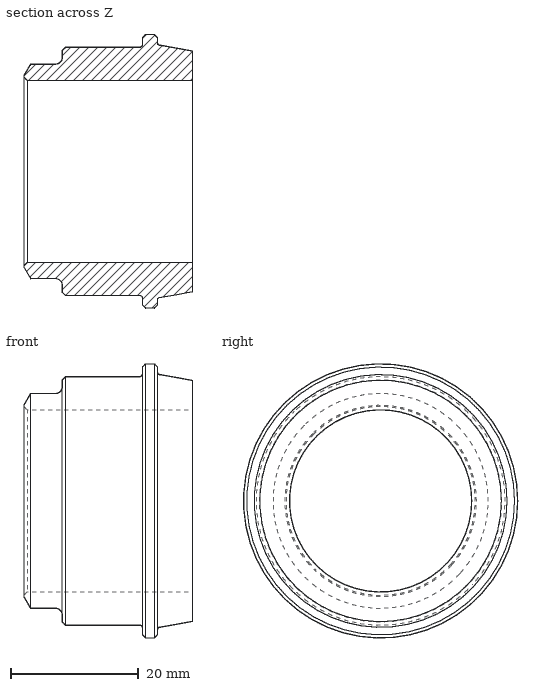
import cadquery as cq
import math

length = 26.5
bore_radius = 28.5 / 2
bore_chamfer = 0.55

neck_radius = 33.7 / 2
bevel_length = 1.08
bevel_depth = 1.85
neck_fillet = 1.05

body_start = 6.0
body_radius = 39.0 / 2
body_chamfer = 0.5

collar_start = 18.58
collar_end = 21.0
collar_radius = 43 / 2
collar_chamfer = 0.5
collar_fillet = 0.4

taper_angle = math.radians(10)
taper_end_radius = 18.9
rear_land = 0.15

taper_slope = math.tan(taper_angle)
rear_edge = length - rear_land


def taper_radius(x):
    """Radius of the tapered rear surface at axial position x."""
    return taper_end_radius + (rear_edge - x) * taper_slope


fillet_center_x = collar_end + collar_fillet
fillet_center_radius = taper_radius(fillet_center_x) + collar_fillet / math.cos(taper_angle)


def rear_fillet_point(angle):
    """Point on the rear fillet; the angle turns from the collar face to the taper."""
    return (
        fillet_center_x - collar_fillet * math.cos(angle),
        fillet_center_radius - collar_fillet * math.sin(angle),
    )


rear_fillet_sweep = math.pi / 2 + taper_angle


def concave_corner(profile, wall_x, radius, fillet):
    """Extend the profile along a cylinder and round it up into a wall."""
    mid_offset = fillet * (1 - math.sqrt(0.5))
    return profile.lineTo(wall_x - fillet, radius).threePointArc(
        (wall_x - mid_offset, radius + mid_offset),
        (wall_x, radius + fillet),
    )


profile = (
    cq.Workplane("XY")
    .moveTo(0, bore_radius + bore_chamfer)
    .lineTo(0, neck_radius - bevel_depth)
    .lineTo(bevel_length, neck_radius)
)
profile = concave_corner(profile, body_start, neck_radius, neck_fillet)
profile = (
    profile.lineTo(body_start, body_radius - body_chamfer)
    .lineTo(body_start + body_chamfer, body_radius)
)
profile = concave_corner(profile, collar_start, body_radius, collar_fillet)
profile = (
    profile.lineTo(collar_start, collar_radius - collar_chamfer)
    .lineTo(collar_start + collar_chamfer, collar_radius)
    .lineTo(collar_end - collar_chamfer, collar_radius)
    .lineTo(collar_end, collar_radius - collar_chamfer)
    .lineTo(*rear_fillet_point(0))
    .threePointArc(rear_fillet_point(rear_fillet_sweep / 2), rear_fillet_point(rear_fillet_sweep))
    .lineTo(rear_edge, taper_end_radius)
    .lineTo(length, taper_end_radius)
    .lineTo(length, bore_radius)
    .lineTo(bore_chamfer, bore_radius)
    .close()
)

result = profile.revolve(360, (0, 0, 0), (1, 0, 0))